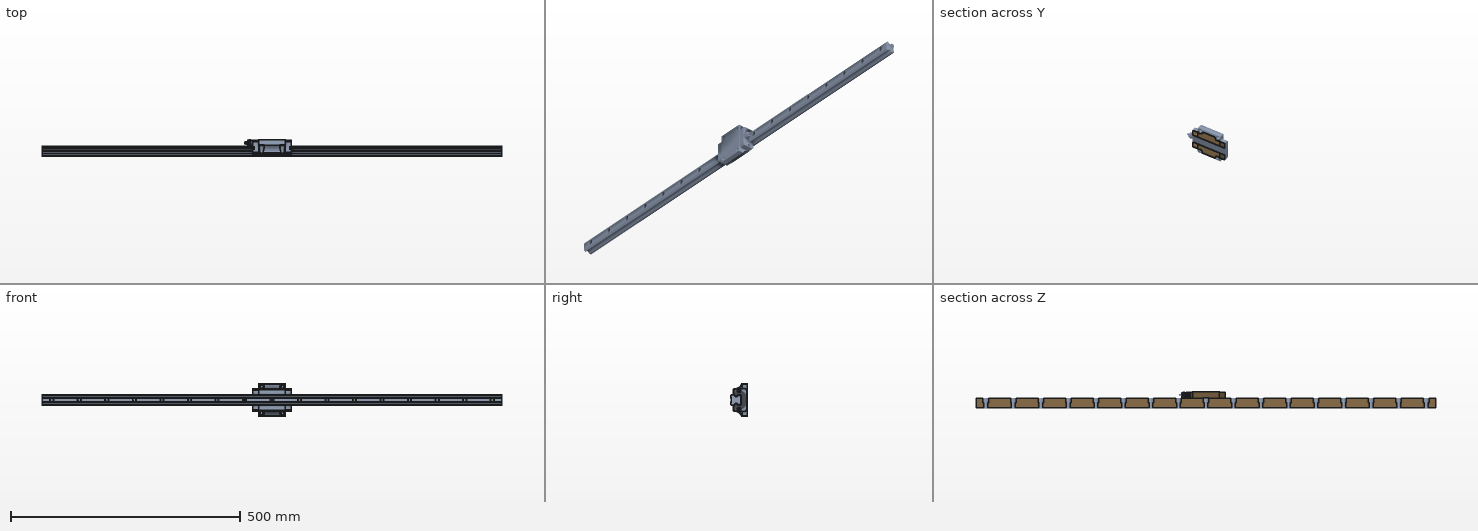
import cadquery as cq


RUNNING_CLEARANCE = 0.4

RAIL_LENGTH = 1002.0
RAIL_WIDTH = 23.0
RAIL_HEIGHT = 22.0
RAIL_TOP_CHAMFER = 3.0
RAIL_BASE_CHAMFER = 2.0
NECK_DEPTH = 4.0
NECK_LEVEL = 12.0
NECK_HEIGHT = 2.8
NECK_BOTTOM = NECK_LEVEL - NECK_HEIGHT / 2
NECK_TOP = NECK_LEVEL + NECK_HEIGHT / 2
BASE_GROOVE_WIDTH = 10.0
BASE_GROOVE_DEPTH = 1.0
RAIL_HOLE_COUNT = 17
RAIL_END_MARGIN = 21.0
RAIL_HOLE_PITCH = (RAIL_LENGTH - 2 * RAIL_END_MARGIN) / (RAIL_HOLE_COUNT - 1)
RAIL_HOLE_DIAMETER = 7.0
RAIL_BORE_DIAMETER = 11.0
RAIL_BORE_DEPTH = 9.0

BLOCK_LENGTH = 58.0
BLOCK_TOP = 36.0
BLOCK_BOTTOM = 6.0
BLOCK_CHAMFER = 2.0
BODY_WIDTH = 49.0
FLANGE_WIDTH = 70.0
FILLET_RADIUS = 15.0
FILLET_START = 10.0
BOLT_PITCH_X = 45.0
BOLT_PITCH_Z = 57.0
BOLT_HOLE_DIAMETER = 6.7
SPOT_FACE_DIAMETER = 11.0
SPOT_FACE_LEVEL = 25.0

CAP_LENGTH = 13.0
CAP_WIDTH = 48.0
CAP_TOP = 35.0
CAP_BOTTOM = BLOCK_BOTTOM
CAP_CHAMFER = 3.0
CAP_END = BLOCK_LENGTH / 2 + CAP_LENGTH
SCREW_LEVEL = 18.0
SCREW_PITCH = 40.0
SCREW_HOLE_DIAMETER = 4.1
SCREW_HEAD_DIAMETER = 7.0
SCREW_HEAD_DEPTH = 3.0

NIPPLE_LEVEL = 29.0
THREAD_DIAMETER = 6.0
THREAD_LENGTH = 8.0
COLLAR_DIAMETER = 11.0
COLLAR_LENGTH = 11.0
HEX_ACROSS_FLATS = 12.0
HEX_LENGTH = 3.0
HEX_START = 5.0
HEX_TURN = 30
NOSE_DIAMETER = 5.0
NOSE_LENGTH = 3.0
TIP_DIAMETER = 3.2
TIP_LENGTH = 3.0
NIPPLE_BORE_DIAMETER = 2.0


def mirrored(half):
    """Complete (Y, Z) points on the +Z side with their mirror images on the -Z side."""
    return half + [(y, -z) for y, z in reversed(half)]


def extrude_along_rail(half):
    """Prism over the full rail length from the +Z half of its outline."""
    plane = cq.Workplane("YZ", origin=(-RAIL_LENGTH / 2, 0, 0))
    return plane.polyline(mirrored(half)).close().extrude(RAIL_LENGTH)



def make_rail_bar():
    side = RAIL_WIDTH / 2
    neck = side - NECK_DEPTH
    return extrude_along_rail([
        (0, side - RAIL_BASE_CHAMFER),
        (RAIL_BASE_CHAMFER, side),
        (NECK_BOTTOM - NECK_DEPTH, side),
        (NECK_BOTTOM, neck),
        (NECK_TOP, neck),
        (NECK_TOP + NECK_DEPTH, side),
        (RAIL_HEIGHT - RAIL_TOP_CHAMFER, side),
        (RAIL_HEIGHT, side - RAIL_TOP_CHAMFER),
    ])


def make_rail():
    groove_side = BASE_GROOVE_WIDTH / 2
    groove = extrude_along_rail([
        (0, groove_side),
        (BASE_GROOVE_DEPTH, groove_side - BASE_GROOVE_DEPTH),
    ])
    holes = (
        cq.Workplane("XZ", origin=(0, RAIL_HEIGHT, 0))
        .rarray(RAIL_HOLE_PITCH, 10, RAIL_HOLE_COUNT, 1)
    )
    through_holes = holes.circle(RAIL_HOLE_DIAMETER / 2).extrude(RAIL_HEIGHT)
    bores = holes.circle(RAIL_BORE_DIAMETER / 2).extrude(RAIL_BORE_DEPTH)
    return make_rail_bar().cut(groove).cut(through_holes).cut(bores)


def make_rail_tunnel():
    """Running space for the rail through the block and the end caps."""
    side = RAIL_WIDTH / 2 + RUNNING_CLEARANCE
    neck = side - NECK_DEPTH
    return extrude_along_rail([
        (0, side),
        (NECK_BOTTOM - NECK_DEPTH, side),
        (NECK_BOTTOM, neck),
        (NECK_TOP, neck),
        (NECK_TOP + NECK_DEPTH, side),
        (RAIL_HEIGHT - RAIL_TOP_CHAMFER, side),
        (RAIL_HEIGHT + RUNNING_CLEARANCE, side - RAIL_TOP_CHAMFER),
    ])



def fillet_point(z):
    """Point (Y, Z) of the concave fillet between the body's side and the flange."""
    center_z = BODY_WIDTH / 2 + FILLET_RADIUS
    return FILLET_START + (FILLET_RADIUS**2 - (center_z - z) ** 2) ** 0.5, z


def make_block_blank():
    side = BODY_WIDTH / 2
    edge = FLANGE_WIDTH / 2
    half = (
        cq.Workplane("YZ", origin=(-BLOCK_LENGTH / 2, 0, 0))
        .moveTo(BLOCK_BOTTOM, 0)
        .lineTo(BLOCK_BOTTOM, side - BLOCK_CHAMFER)
        .lineTo(BLOCK_BOTTOM + BLOCK_CHAMFER, side)
        .lineTo(FILLET_START, side)
        .threePointArc(fillet_point((side + edge) / 2), fillet_point(edge))
        .lineTo(BLOCK_TOP, edge)
        .lineTo(BLOCK_TOP, 0)
        .close()
        .extrude(BLOCK_LENGTH)
    )
    return half.union(half.mirror("XY")).clean()


def make_bolt_cylinders(diameter, top):
    """Cylinders on the four bolt axes, from a level down past the block's bottom."""
    return (
        cq.Workplane("XZ", origin=(0, top, 0))
        .rarray(BOLT_PITCH_X, BOLT_PITCH_Z, 2, 2)
        .circle(diameter / 2)
        .extrude(top)
    )


def make_block():
    bolt_holes = make_bolt_cylinders(BOLT_HOLE_DIAMETER, BLOCK_TOP)
    spot_faces = make_bolt_cylinders(SPOT_FACE_DIAMETER, SPOT_FACE_LEVEL)
    return make_block_blank().cut(bolt_holes).cut(spot_faces).cut(make_rail_tunnel())



def make_cap():
    """End cap at the +X end of the block."""
    height = CAP_TOP - CAP_BOTTOM
    blank = (
        cq.Workplane("YZ", origin=(BLOCK_LENGTH / 2, CAP_BOTTOM + height / 2, 0))
        .rect(height, CAP_WIDTH)
        .extrude(CAP_LENGTH)
        .edges("|X")
        .chamfer(CAP_CHAMFER)
    )
    screws = (
        cq.Workplane("YZ", origin=(CAP_END, SCREW_LEVEL, 0))
        .rarray(10, SCREW_PITCH, 1, 2)
    )
    screw_holes = screws.circle(SCREW_HOLE_DIAMETER / 2).extrude(-CAP_LENGTH)
    screw_heads = screws.circle(SCREW_HEAD_DIAMETER / 2).extrude(-SCREW_HEAD_DEPTH)
    return blank.cut(screw_holes).cut(screw_heads).cut(make_rail_tunnel())



def nipple_plane(distance):
    """Plane across the nipple's axis, at a distance outside the -X cap's end face."""
    return cq.Workplane("YZ", origin=(-CAP_END - distance, NIPPLE_LEVEL, 0))


def make_nipple_thread():
    return nipple_plane(0).circle(THREAD_DIAMETER / 2).extrude(THREAD_LENGTH)


def make_nipple():
    nose_end = COLLAR_LENGTH + NOSE_LENGTH
    tip_end = nose_end + TIP_LENGTH
    collar = nipple_plane(COLLAR_LENGTH).circle(COLLAR_DIAMETER / 2).extrude(COLLAR_LENGTH)
    hexagon = (
        nipple_plane(HEX_START + HEX_LENGTH)
        .polygon(6, HEX_ACROSS_FLATS, circumscribed=True)
        .extrude(HEX_LENGTH)
    )
    turned_hexagon = hexagon.rotate((0, NIPPLE_LEVEL, 0), (1, NIPPLE_LEVEL, 0), HEX_TURN)
    nose = nipple_plane(nose_end).circle(NOSE_DIAMETER / 2).extrude(NOSE_LENGTH)
    tip = (
        nipple_plane(tip_end)
        .circle(TIP_DIAMETER / 2)
        .workplane(offset=TIP_LENGTH)
        .circle(NOSE_DIAMETER / 2)
        .loft()
    )
    bore = nipple_plane(tip_end).circle(NIPPLE_BORE_DIAMETER / 2).extrude(tip_end + THREAD_LENGTH)
    return make_nipple_thread().union(collar).union(turned_hexagon).union(nose).union(tip).cut(bore)


rail = make_rail()
block = make_block()
right_cap = make_cap()
left_cap = make_cap().mirror("YZ").cut(make_nipple_thread())
nipple = make_nipple()

result = cq.Compound.makeCompound([
    rail.val(),
    block.val(),
    right_cap.val(),
    left_cap.val(),
    nipple.val(),
])